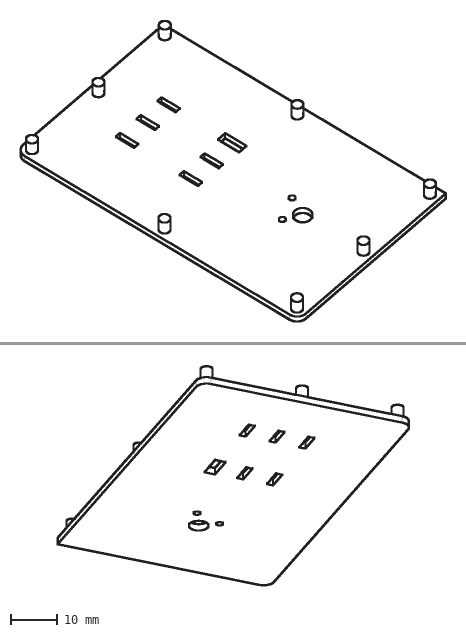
import cadquery as cq

plate_length = 80
plate_width = 50.0
plate_thickness = 1.6
corner_radius = 2.5

total_height = 5.0
post_diameter = 2.6
post_inset = 2.5

slot_length = 5.2
slot_width = 1.4
left_column_x = -23.5
right_column_x = -5.4
row_pitch = 7.0
wide_window_length = 6.0
wide_window_width = 2.5
wide_window_x = -5.5

main_hole_x = 20.3
main_hole_diameter = 4.3
pin_hole_diameter = 1.5
pin_offsets = [(-5.1, 2.6), (-2.6, -3.8)]


def make_plate():
    """Plate with three rounded corners; the +X +Y corner stays square."""
    plate = cq.Workplane("XY").rect(plate_length, plate_width).extrude(plate_thickness)
    left_corners = plate.edges("|Z and <X")
    return left_corners.fillet(corner_radius).edges("|Z and >X").edges("<Y").fillet(corner_radius)


def make_posts():
    """Posts at the corners and side middles of a rectangle inset from the rim."""
    reach_x = plate_length / 2 - post_inset
    reach_y = plate_width / 2 - post_inset
    centers = []
    for x in (-reach_x, 0, reach_x):
        for y in (-reach_y, 0, reach_y):
            if (x, y) != (0, 0):
                centers.append((x, y))
    return cq.Workplane("XY").pushPoints(centers).circle(post_diameter / 2).extrude(total_height)


def cut_windows(body):
    """Five equal slots, and a wider window at the top of the right column."""
    slot_centers = [(left_column_x, row * row_pitch) for row in (-1, 0, 1)]
    slot_centers += [(right_column_x, row * row_pitch) for row in (-1, 0)]
    slots = cq.Workplane("XY").pushPoints(slot_centers).rect(slot_length, slot_width)
    wide_window = (
        cq.Workplane("XY")
        .center(wide_window_x, row_pitch)
        .rect(wide_window_length, wide_window_width)
    )
    return body.cut(slots.extrude(plate_thickness)).cut(wide_window.extrude(plate_thickness))


def cut_round_holes(body):
    """Main hole and its two pin holes, all through the plate."""
    base = cq.Workplane("XY").center(main_hole_x, 0)
    main_hole = base.circle(main_hole_diameter / 2).extrude(plate_thickness)
    pins = cq.Workplane("XY").center(main_hole_x, 0).pushPoints(pin_offsets)
    pin_holes = pins.circle(pin_hole_diameter / 2).extrude(plate_thickness)
    return body.cut(main_hole).cut(pin_holes)


result = cut_round_holes(cut_windows(make_plate().union(make_posts())))